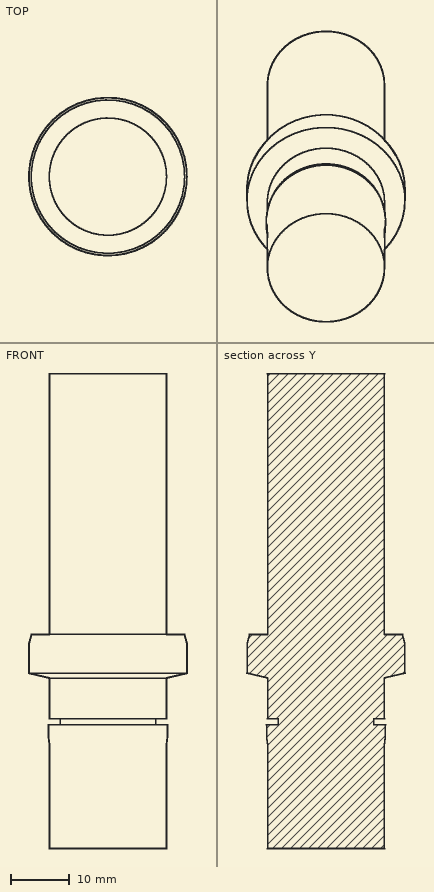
import cadquery as cq
import math

total_length = 81.0
shaft_radius = 20.0 / 2
collar_radius = 27.0 / 2
groove_radius = 16.4 / 2
ring_radius = 20.3 / 2

ring_taper_bottom = 17.7
ring_taper_top = 18.95
groove_bottom = 21.15
groove_top = 22.1
collar_bottom = 29.1
collar_rim_bottom = 29.9
collar_rim_top = 35.0
collar_top = 36.5

rim_taper_angle = math.radians(15)
collar_top_radius = collar_radius - (collar_top - collar_rim_top) * math.tan(rim_taper_angle)

profile = [
    (0, 0),
    (shaft_radius, 0),
    (shaft_radius, ring_taper_bottom),
    (ring_radius, ring_taper_top),
    (ring_radius, groove_bottom),
    (groove_radius, groove_bottom),
    (groove_radius, groove_top),
    (shaft_radius, groove_top),
    (shaft_radius, collar_bottom),
    (collar_radius, collar_rim_bottom),
    (collar_radius, collar_rim_top),
    (collar_top_radius, collar_top),
    (shaft_radius, collar_top),
    (shaft_radius, total_length),
    (0, total_length),
]

result = cq.Workplane("XZ").polyline(profile).close().revolve(360, (0, 0), (0, 1))